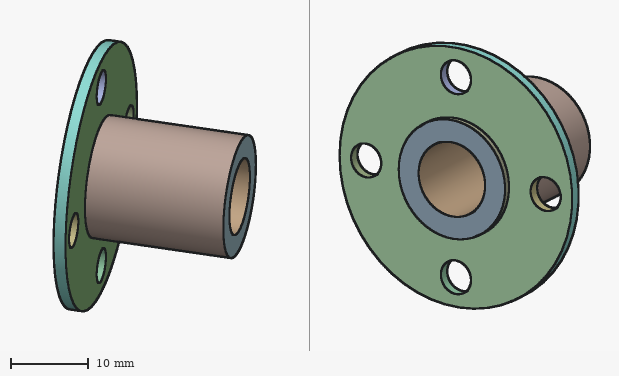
import cadquery as cq

flange_diameter = 35.0
flange_thickness = 1.6
hub_diameter = 16.0
bore_diameter = 10.0
total_length = 21.0
pilot_length = 0.98
bolt_hole_diameter = 4.5
bolt_circle_diameter = 27.0
bolt_hole_count = 4


def cylinder_along_x(diameter, start, length):
    """Cylinder on the X axis, from x = start toward +X."""
    return cq.Workplane("YZ", origin=(start, 0, 0)).circle(diameter / 2).extrude(length)


hub = cylinder_along_x(hub_diameter, 0, total_length)
flange = cylinder_along_x(flange_diameter, pilot_length, flange_thickness)
bore = cylinder_along_x(bore_diameter, 0, total_length)

bolt_holes = (
    cq.Workplane("YZ", origin=(pilot_length, 0, 0))
    .polarArray(bolt_circle_diameter / 2, 0, 360, bolt_hole_count)
    .circle(bolt_hole_diameter / 2)
    .extrude(flange_thickness)
)

result = hub.union(flange).cut(bore).cut(bolt_holes)